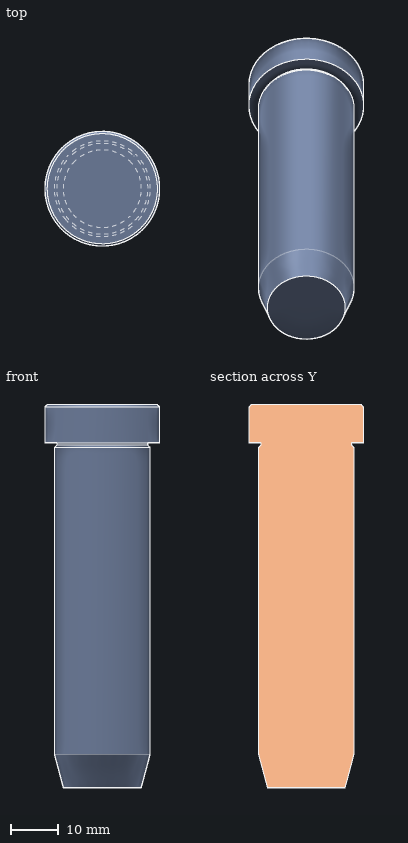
import cadquery as cq
import math

total_length = 80.0
head_diameter = 24.0
head_height = 8.0
shank_diameter = 20.0

edge_chamfer = 0.5
neck_height = 0.5

tip_height = 7.0
taper_angle = 15.0

head_radius = head_diameter / 2
shank_radius = shank_diameter / 2
neck_radius = shank_radius - edge_chamfer
tip_radius = shank_radius - tip_height * math.tan(math.radians(taper_angle))
head_bottom = total_length - head_height
shank_top = head_bottom - neck_height


def make_pin():
    """Revolve the half section, drawn on the -X side, about the Z axis."""
    half_section = (
        cq.Workplane("XZ")
        .moveTo(0, 0)
        .lineTo(-tip_radius, 0)
        .lineTo(-shank_radius, tip_height)
        .lineTo(-shank_radius, shank_top - edge_chamfer)
        .lineTo(-neck_radius, shank_top)
        .lineTo(-neck_radius, head_bottom)
        .lineTo(-head_radius, head_bottom)
        .lineTo(-head_radius, total_length - edge_chamfer)
        .lineTo(-head_radius + edge_chamfer, total_length)
        .lineTo(0, total_length)
        .close()
    )
    return half_section.revolve(360, (0, 0, 0), (0, 1, 0))


result = make_pin()